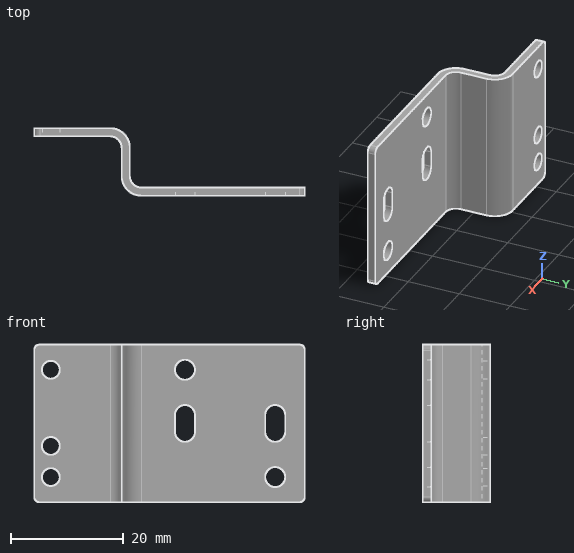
import cadquery as cq

length = 48.0
depth = 12.0
height = 28.0

thickness = 1.5
inner_bend_radius = 2.0
outer_bend_radius = inner_bend_radius + thickness
web_left = 15.5
web_right = web_left + thickness
corner_radius = 1.0

mid_height = height / 2
outer_hole_offset = 9.5
small_hole_diameter = 3.1
small_hole_x = 3.0
small_hole_offsets = (outer_hole_offset, -4.0, -outer_hole_offset)
large_hole_diameter = 3.5
slot_length = 6.5
inner_column_x = 26.75
outer_column_x = inner_column_x + 16.0


def bent_sheet():
    """Z-shaped sheet: rear flange on the left, web, front flange on the right."""
    profile = (
        cq.Workplane("XY")
        .moveTo(0, depth)
        .lineTo(web_right, depth)
        .lineTo(web_right, thickness)
        .lineTo(length, thickness)
        .lineTo(length, 0)
        .lineTo(web_left, 0)
        .lineTo(web_left, depth - thickness)
        .lineTo(0, depth - thickness)
        .close()
    )
    sheet = profile.extrude(height)
    for x, y, radius in (
        (web_right, depth, outer_bend_radius),
        (web_left, depth - thickness, inner_bend_radius),
        (web_left, 0, outer_bend_radius),
        (web_right, thickness, inner_bend_radius),
    ):
        bend_edge = cq.selectors.NearestToPointSelector((x, y, mid_height))
        sheet = sheet.edges("|Z").edges(bend_edge).fillet(radius)
    return sheet


def cutting_plane():
    """Upright plane at the front face, level with the middle of the plate."""
    return cq.Workplane("XZ", origin=(0, 0, mid_height))


def round_holes(points, diameter):
    """Cutters for round holes through the full depth."""
    return cutting_plane().pushPoints(points).circle(diameter / 2).extrude(-depth)


def slots():
    """Cutters for the two upright slots in the front flange."""
    centres = [(inner_column_x, 0), (outer_column_x, 0)]
    outline = cutting_plane().pushPoints(centres).slot2D(slot_length, large_hole_diameter, 90)
    return outline.extrude(-depth)


small_holes = [(small_hole_x, offset) for offset in small_hole_offsets]
large_holes = [
    (inner_column_x, outer_hole_offset),
    (outer_column_x, -outer_hole_offset),
]

result = bent_sheet()

result = result.faces("<X or >X").edges("|Y").fillet(corner_radius)

result = result.cut(round_holes(small_holes, small_hole_diameter))
result = result.cut(round_holes(large_holes, large_hole_diameter))
result = result.cut(slots())